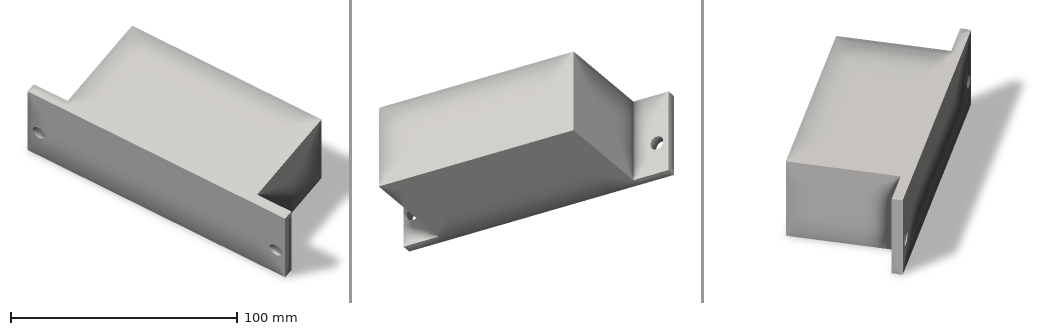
import cadquery as cq

flange_width = 136.0
total_depth = 57.2
height = 40.0

flange_thickness = 5.0
block_width = 100.0
block_depth = total_depth - flange_thickness

hole_diameter = 6.5
hole_spacing = 125.0
hole_height = 15.5
hole_shift = 0.5


def make_flange():
    """Plate whose front face lies on Y = 0, centred on X, standing on Z = 0."""
    return cq.Workplane("XY").box(
        flange_width, flange_thickness, height, centered=(True, False, False)
    )


def make_block():
    """Solid block behind the flange, as tall as the flange."""
    return (
        cq.Workplane("XY")
        .box(block_width, block_depth, height, centered=(True, False, False))
        .translate((0, flange_thickness, 0))
    )


def make_mounting_holes():
    """One cylinder through each flange ear, along Y."""
    return (
        cq.Workplane("XZ")
        .pushPoints([(hole_shift + side * hole_spacing / 2, hole_height) for side in (-1, 1)])
        .circle(hole_diameter / 2)
        .extrude(-flange_thickness)
    )


result = make_flange().union(make_block()).cut(make_mounting_holes())